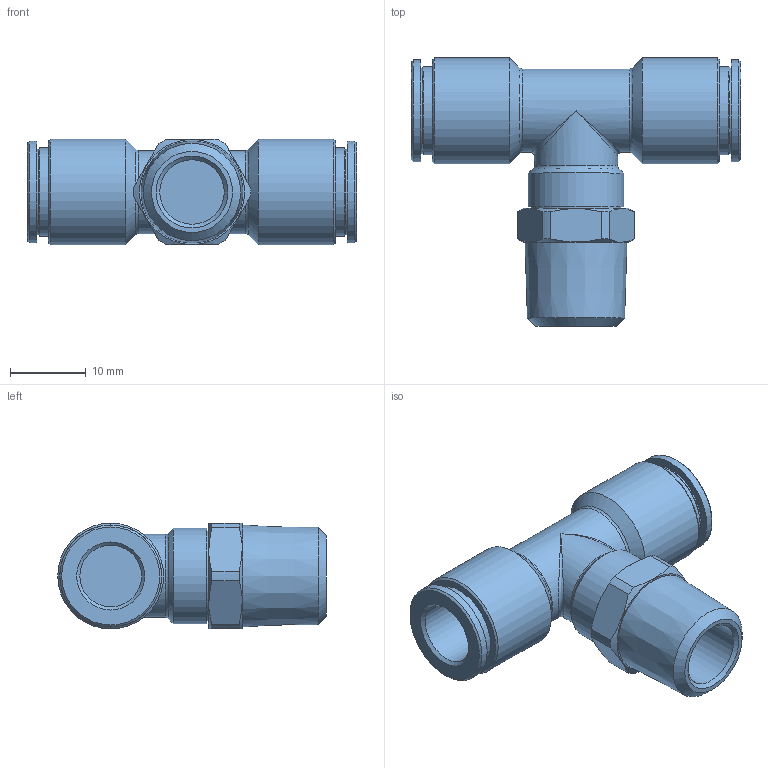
import cadquery as cq
import math

RUN_LENGTH = 43.51
COLLAR_RADIUS = 6.73
COLLAR_WIDTH = 1.22
SLEEVE_RADIUS = 5.83
SLEEVE_LENGTH = 1.55
RELIEF_RADIUS = 5.68
RELIEF_WIDTH = 0.35
SOCKET_RADIUS = 7.0
SOCKET_LENGTH = 10.2
NECK_RADIUS = 5.5
EDGE_CHAMFER = 0.25
BLEND_RADIUS = 0.5
SEAM_OVERLAP = 0.001

STEM_REACH = 28.5
SHOULDER_RADIUS = 6.3
SHOULDER_START = 8.25
SHOULDER_END = 12.7
STEM_GROOVE_RADIUS = 6.0
HEX_START = 12.93
HEX_HEIGHT = 4.5
HEX_FLATS = 14.0
HEX_CORNER_DIAMETER = 15.5
HEX_FACE_RADIUS = 6.95
HEX_CHAMFER_ANGLE = 30
HEX_SIDES = 6
HEX_TURN = 180 / HEX_SIDES
THREAD_TIP_RADIUS = 6.43
THREAD_TIP_CHAMFER = 1.08
THREAD_TAPER = 1 / 16

TUBE_BORE_RADIUS = 4.08
TUBE_MOUTH_RADIUS = 4.5
STEM_BORE_RADIUS = 4.27
STEM_MOUTH_RADIUS = 4.75

run_end = RUN_LENGTH / 2
collar_start = run_end - COLLAR_WIDTH
sleeve_start = collar_start - SLEEVE_LENGTH
relief_start = collar_start - RELIEF_WIDTH
socket_start = sleeve_start - SOCKET_LENGTH
cone_start = socket_start - (SOCKET_RADIUS - NECK_RADIUS)
hex_end = HEX_START + HEX_HEIGHT
tube_bore_depth = run_end - cone_start
stem_bore_depth = STEM_REACH - HEX_START


def turned(points):
    """Revolve a (radius, station) outline about the Z axis."""
    return cq.Workplane("XZ").polyline(points).close().revolve(360, (0, 0, 0), (0, 1, 0))


def along_x(body):
    """Turn a body built along Z to point along +X."""
    return body.rotate((0, 0, 0), (0, 1, 0), 90)


def along_minus_y(body):
    """Turn a body built along Z to point along -Y."""
    return body.rotate((0, 0, 0), (1, 0, 0), 90)


def blend_cone_foot(body, station):
    """Round the inside corner where the neck meets a 45 degree cone."""
    foot_centre = (0, 0, station)
    return body.edges(cq.selectors.NearestToPointSelector(foot_centre)).fillet(BLEND_RADIUS)


def tube_run():
    """Both halves of the run: neck, cone, socket, release sleeve and collar, mirrored about the middle."""
    half_outline = [
        (NECK_RADIUS, cone_start),
        (SOCKET_RADIUS, socket_start),
        (SOCKET_RADIUS, sleeve_start - EDGE_CHAMFER),
        (SOCKET_RADIUS - EDGE_CHAMFER, sleeve_start),
        (SLEEVE_RADIUS, sleeve_start),
        (SLEEVE_RADIUS, relief_start),
        (RELIEF_RADIUS, relief_start + SLEEVE_RADIUS - RELIEF_RADIUS),
        (RELIEF_RADIUS, collar_start),
        (COLLAR_RADIUS, collar_start),
        (COLLAR_RADIUS, run_end - EDGE_CHAMFER),
        (COLLAR_RADIUS - EDGE_CHAMFER, run_end),
        (0, run_end),
    ]
    mirrored_outline = [(radius, -station) for radius, station in reversed(half_outline)]
    run = turned(mirrored_outline + half_outline)
    for foot in (-cone_start, cone_start):
        run = blend_cone_foot(run, foot)
    return along_x(run)


def stem():
    """Neck, shoulder, hex groove and tapered thread."""
    cone_foot = SHOULDER_START - (SHOULDER_RADIUS - NECK_RADIUS)
    tip_start = STEM_REACH - THREAD_TIP_CHAMFER
    thread_root_radius = THREAD_TIP_RADIUS + (tip_start - hex_end) * THREAD_TAPER / 2
    body = turned([
        (0, 0),
        (NECK_RADIUS, 0),
        (NECK_RADIUS, cone_foot),
        (SHOULDER_RADIUS, SHOULDER_START),
        (SHOULDER_RADIUS, SHOULDER_END),
        (STEM_GROOVE_RADIUS, SHOULDER_END),
        (STEM_GROOVE_RADIUS, hex_end),
        (thread_root_radius, hex_end),
        (THREAD_TIP_RADIUS, tip_start),
        (THREAD_TIP_RADIUS - THREAD_TIP_CHAMFER, STEM_REACH),
        (0, STEM_REACH),
    ])
    return along_minus_y(blend_cone_foot(body, cone_foot))


def hex_collar():
    """Hexagon with rounded corners and a turned chamfer on both faces."""
    corner_radius = HEX_CORNER_DIAMETER / 2
    chamfer = (corner_radius - HEX_FACE_RADIUS) * math.tan(math.radians(HEX_CHAMFER_ANGLE))
    prism = (
        cq.Workplane("XY", origin=(0, 0, HEX_START))
        .polygon(HEX_SIDES, HEX_FLATS, circumscribed=True)
        .extrude(HEX_HEIGHT)
        .rotate((0, 0, 0), (0, 0, 1), HEX_TURN)
    )
    envelope = turned([
        (0, HEX_START),
        (HEX_FACE_RADIUS, HEX_START),
        (corner_radius, HEX_START + chamfer),
        (corner_radius, hex_end - chamfer),
        (HEX_FACE_RADIUS, hex_end),
        (0, hex_end),
    ])
    return along_minus_y(prism.intersect(envelope))


def bore(radius, mouth_radius, mouth, depth):
    """Cutter for a flat-bottomed bore with a 45 degree mouth chamfer."""
    return turned([
        (0, mouth - depth),
        (radius, mouth - depth),
        (radius, mouth - (mouth_radius - radius)),
        (mouth_radius, mouth),
        (0, mouth),
    ])


def crotch_blend():
    """Concave blend of the 90 degree seam between the run (+X side) and the stem."""
    reach = NECK_RADIUS + BLEND_RADIUS
    beside_stem = (
        cq.Workplane("XZ")
        .ellipse(reach, NECK_RADIUS)
        .extrude(reach)
    )
    beside_run = (
        cq.Workplane("YZ")
        .ellipse(reach, NECK_RADIUS)
        .extrude(reach)
    )
    bisector = cq.Plane(origin=(0, 0, 0), xDir=(1, -1, 0), normal=(-1, -1, 0))
    path = cq.Workplane(bisector).ellipseArc(
        reach * math.sqrt(2), reach, -90, 90, startAtCurrent=False
    )
    across_path = cq.Plane(origin=(0, 0, -reach), xDir=(0, 0, 1), normal=(1, -1, 0))
    ball_track = cq.Workplane(across_path).circle(BLEND_RADIUS + SEAM_OVERLAP).sweep(path)
    return beside_stem.intersect(beside_run).cut(ball_track)


blend = crotch_blend()
result = (
    tube_run()
    .union(stem())
    .union(blend)
    .union(blend.mirror("YZ"))
    .union(hex_collar())
)
tube_bore = along_x(bore(TUBE_BORE_RADIUS, TUBE_MOUTH_RADIUS, run_end, tube_bore_depth))
stem_bore = along_minus_y(bore(STEM_BORE_RADIUS, STEM_MOUTH_RADIUS, STEM_REACH, stem_bore_depth))
result = result.cut(tube_bore).cut(tube_bore.mirror("YZ")).cut(stem_bore)